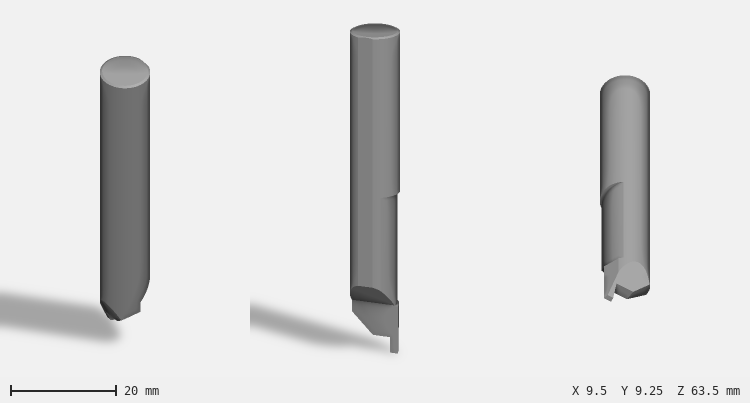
import cadquery as cq
import math

length = 63.5
radius = 4.75
flat_y = 4.5
chamfer_height = 0.25
chamfer_width = 0.45

relief_top = 31.75
relief_bottom = 9.35
relief_x = -4.0
relief_radius = 6.8

rake_top = 9.45
heel_top = 8.75
heel_tip_y = -0.75
tip_width = 1.65
tip_side_draft = 5.0
tip_rise = 0.2
shoulder_z = 3.05
shoulder_end_x = 0.45
corner_z = 7.2
clearance_x = -3.5
clearance_y = -math.sqrt(radius**2 - clearance_x**2)

over = 6.35
outside = radius + over
tip_inner_x = -radius + tip_width
tip_rise_slope = tip_rise / heel_tip_y


def side_prism(points):
    """Prism along X from a (Y, Z) outline."""
    return cq.Workplane("YZ").polyline(points).close().extrude(outside, both=True)


def front_prism(points):
    """Prism along Y from an (X, Z) outline."""
    return cq.Workplane("XZ").polyline(points).close().extrude(outside, both=True)


def make_shank():
    profile = [
        (0, 0),
        (radius, 0),
        (radius, length - chamfer_height),
        (radius - chamfer_width, length),
        (0, length),
    ]
    body = cq.Workplane("XZ").polyline(profile).close().revolve(360, (0, 0), (0, 1))
    flat = cq.Workplane("XY").box(2 * outside, over, length, centered=(True, False, False))
    return body.cut(flat.translate((0, flat_y, 0)))


def make_relief():
    height = relief_top - relief_bottom
    block = cq.Workplane("XY").box(outside, 2 * outside, height, centered=(False, True, False))
    core = cq.Workplane("XY").center(relief_x + relief_radius, 0).circle(relief_radius).extrude(height)
    return block.translate((-outside, 0, 0)).cut(core).translate((0, 0, relief_bottom))


def make_rake():
    return side_prism([
        (0, -over),
        (0, rake_top),
        (outside, rake_top + outside),
        (outside, -over),
    ])


def make_heel():
    slope = heel_top / (-radius - heel_tip_y)
    return side_prism([
        (heel_tip_y - over / slope, -over),
        (-outside, slope * (-outside - heel_tip_y)),
        (-outside, -over),
    ])


def make_end_face():
    return side_prism([(0, 0), (-outside, -outside * tip_rise_slope), (-outside, -over), (0, -over)])


def make_shoulder():
    slope = (corner_z - shoulder_z) / (radius - shoulder_end_x)
    step = front_prism([
        (-outside, -over),
        (-outside, shoulder_z),
        (shoulder_end_x, shoulder_z),
        (outside, shoulder_z + slope * (outside - shoulder_end_x)),
        (outside, -over),
    ])
    tip = [
        (tip_inner_x, 0),
        (tip_inner_x - radius * math.tan(math.radians(tip_side_draft)), -radius),
        (-outside, -radius),
        (-outside, 0),
    ]
    kept_tip = cq.Workplane("XY").workplane(offset=-over).polyline(tip).close().extrude(shoulder_z + over)
    return step.cut(kept_tip)


def make_side_clearance():
    outline = [
        (-radius, 0),
        (clearance_x, clearance_y),
        (-outside, clearance_y),
        (-outside, 0),
    ]
    return cq.Workplane("XY").polyline(outline).close().extrude(relief_bottom)


result = make_shank()
for cutter in (
    make_relief(),
    make_rake(),
    make_heel(),
    make_end_face(),
    make_shoulder(),
    make_side_clearance(),
):
    result = result.cut(cutter)